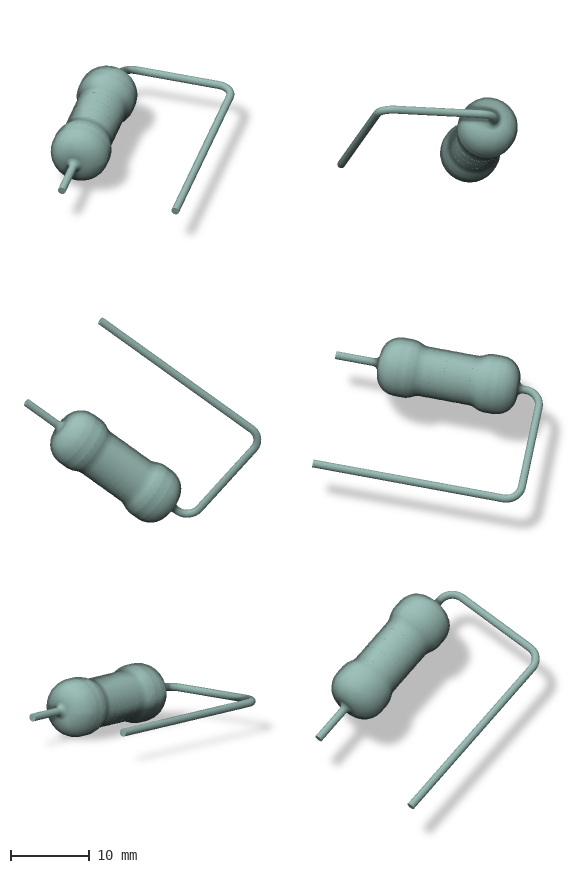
import cadquery as cq

wire_diameter = 1.0
wire_radius = wire_diameter / 2
lead_spacing = 14.99
bend_radius = 2.0
total_length = 27.1

body_middle = 14.58
body_half_length = 9.0
bulb_radius = 7.5 / 2
bulb_inner_end = 5.2
bulb_outer_end = 6.37
collar_radius = 0.73
collar_end = body_half_length + collar_radius
collar_base_radius = wire_radius + collar_radius

waist_radius = 6.37 / 2
band_radius = 6.4 / 2
ring_count = 7
ring_width = 0.87
waist_half_length = ring_count * ring_width / 2

lead_end = 0.0
run_y = total_length - wire_radius
bend_start_y = run_y - bend_radius


def make_body():
    """Revolve one half profile (X = radius, Y = axial) and turn a copy over."""
    shoulder_radius = (bulb_radius + waist_radius) / 2
    shoulder_end = (waist_half_length + bulb_inner_end) / 2
    half = (
        cq.Workplane("XY")
        .lineTo(waist_radius, 0)
        .lineTo(waist_radius, waist_half_length)
        .tangentArcPoint((shoulder_radius, shoulder_end), relative=False)
        .tangentArcPoint((bulb_radius, bulb_inner_end), relative=False)
        .lineTo(bulb_radius, bulb_outer_end)
        .ellipseArc(
            bulb_radius - collar_base_radius,
            body_half_length - bulb_outer_end,
            0,
            90,
            startAtCurrent=True,
        )
        .radiusArc((wire_radius, collar_end), collar_radius)
        .lineTo(0, collar_end)
        .close()
        .revolve(360, (0, 0, 0), (0, 1, 0))
    )
    other_half = half.rotate((0, 0, 0), (1, 0, 0), 180)
    return half.union(other_half).translate((0, body_middle, 0))


def make_band(ring):
    """Raised disc filling one ring of the waist, counted from the lead end."""
    start_y = body_middle - waist_half_length + ring * ring_width
    return cq.Workplane("XZ", origin=(0, start_y, 0)).circle(band_radius).extrude(-ring_width)


def make_straight_lead():
    return cq.Workplane("XZ", origin=(0, lead_end, 0)).circle(wire_radius).extrude(-body_middle)


def make_bent_lead():
    """Leave the body, turn twice and run back parallel to it."""
    path = (
        cq.Workplane("XY")
        .moveTo(0, body_middle)
        .lineTo(0, bend_start_y)
        .radiusArc((bend_radius, run_y), bend_radius)
        .lineTo(lead_spacing - bend_radius, run_y)
        .radiusArc((lead_spacing, bend_start_y), bend_radius)
        .lineTo(lead_spacing, lead_end)
    )
    return cq.Workplane("XZ", origin=(0, body_middle, 0)).circle(wire_radius).sweep(path)


result = make_body().union(make_straight_lead()).union(make_bent_lead())

for ring in range(0, ring_count, 2):
    result = result.union(make_band(ring))